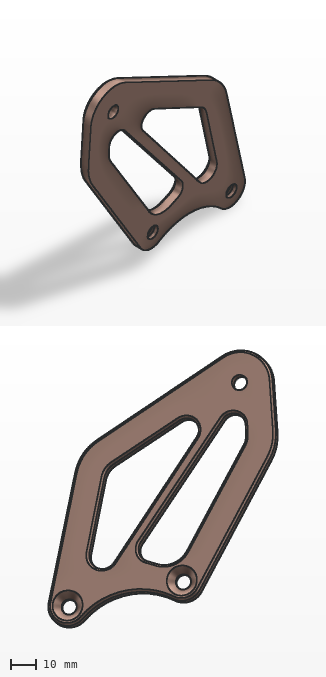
import cadquery as cq
import math

thickness = 5.0
edge_chamfer = 1.0
rim_width = 11.9

hole_diameter = 6.0
countersink_diameter = 12.0
countersink_angle = 90

outer_foot = (0, 0, 8.0)
inner_foot = (-45.7, 8.3, 8.0)
rear_shoulder = (-22.4, 49.1, 20.0)
top_lug = (-68.8, 86.6, 13.0)
front_shoulder = (-63.2, 65.5, 20.0)
relief_radius = 30.0

window_radius = 5.0
large_window_foot = (-13.9, 19.8, 5.5)
large_window_top = (-47.4, 68.3, window_radius)
slot_top = (-66.1, 69.6, window_radius)
slot_rear_foot = (-33.1, 21.5, window_radius)
slot_front_foot = (-38.7, 25.0, 10.0)


def inset(corner, distance):
    """Concentric corner with its radius reduced by distance."""
    y, z, radius = corner
    return (y, z, radius - distance)


def point_on(corner, angle):
    y, z, radius = corner
    return (y + radius * math.cos(angle), z + radius * math.sin(angle))


def direction(start, end):
    return math.atan2(end[1] - start[1], end[0] - start[0])


def distance_between(start, end):
    return math.hypot(end[0] - start[0], end[1] - start[1])


def tangent_angle(start, end):
    """Angle of the outward normal of the line tangent to two corners, going counterclockwise."""
    turn = math.acos((start[2] - end[2]) / distance_between(start, end))
    return direction(start, end) - turn


def add_rounded_chain(path, corners, angles):
    """Draw an arc on each corner from its first to its last angle, joined by tangent lines."""
    for index, corner in enumerate(corners):
        first = angles[index]
        sweep = (angles[index + 1] - first) % (2 * math.pi)
        start = point_on(corner, first)
        path = path.moveTo(*start) if index == 0 else path.lineTo(*start)
        path = path.threePointArc(point_on(corner, first + sweep / 2), point_on(corner, first + sweep))
    return path


def plate():
    """Outline around the five outer corners, closed by the relief arc tangent to both feet."""
    span = distance_between(outer_foot, inner_foot)
    reach = relief_radius + outer_foot[2]
    relief_turn = math.acos(span / 2 / reach)
    outer_angle = direction(outer_foot, inner_foot) + relief_turn
    inner_angle = direction(inner_foot, outer_foot) - relief_turn
    relief_center = point_on((*outer_foot[:2], reach), outer_angle)
    relief = (*relief_center, relief_radius)
    relief_middle = point_on(relief, direction(outer_foot, inner_foot) - math.pi / 2)

    corners = [outer_foot, rear_shoulder, top_lug, front_shoulder, inner_foot]
    tangents = [tangent_angle(a, b) for a, b in zip(corners, corners[1:])]
    path = add_rounded_chain(cq.Workplane("YZ"), corners, [outer_angle, *tangents, inner_angle])
    path = path.threePointArc(relief_middle, point_on(outer_foot, outer_angle)).close()
    return path.extrude(thickness)


def window(corners):
    """Through cutter wrapped around the given corners."""
    following = corners[1:] + corners[:1]
    tangents = [tangent_angle(a, b) for a, b in zip(corners, following)]
    path = add_rounded_chain(cq.Workplane("YZ"), corners, [tangents[-1], *tangents])
    return path.close().extrude(thickness)


large_window = window([large_window_foot, inset(rear_shoulder, rim_width), large_window_top])
slot = window([slot_rear_foot, slot_top, inset(front_shoulder, rim_width), slot_front_foot])

result = plate().cut(large_window).cut(slot)

result = result.faces("<X").edges().chamfer(edge_chamfer)



def screw_hole(corner):
    """Through drill at the center of a corner."""
    return cq.Workplane("YZ").center(corner[0], corner[1]).circle(hole_diameter / 2).extrude(thickness)


def countersink(corner):
    """Cone opening on the -X face and narrowing to the drilled diameter."""
    depth = (countersink_diameter - hole_diameter) / 2 / math.tan(math.radians(countersink_angle / 2))
    mouth = cq.Vector(0, corner[0], corner[1])
    return cq.Solid.makeCone(countersink_diameter / 2, hole_diameter / 2, depth, mouth, cq.Vector(1, 0, 0))


for corner in (outer_foot, inner_foot, top_lug):
    result = result.cut(screw_hole(corner))
for foot in (outer_foot, inner_foot):
    result = result.cut(cq.Workplane(countersink(foot)))